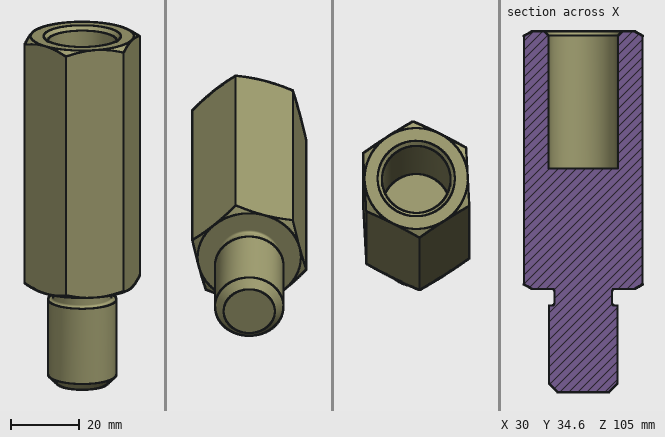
import cadquery as cq
import math

total_length = 105.0
stud_length = 30.0
hex_length = total_length - stud_length

across_flats = 30.0
across_corners = across_flats / math.cos(math.radians(30))
corner_chamfer_angle = 30.0
crown_radius = across_flats / 2
corner_radius = across_corners / 2
corner_drop = (corner_radius - crown_radius) * math.tan(math.radians(corner_chamfer_angle))

stud_radius = 20.0 / 2
neck_radius = 17.0 / 2
neck_length = 4.7
neck_fillet = 0.6
tip_chamfer = 2.5

bore_radius = 20.0 / 2
bore_mouth_radius = 22.5 / 2
bore_depth = 39.9
bore_chamfer = bore_mouth_radius - bore_radius


def revolve_profile(points):
    """Solid of revolution about Z from (radius, height) points."""
    return cq.Workplane("XZ").polyline(points).close().revolve(360, (0, 0), (0, 1))


def hex_body():
    """Hexagon with corners on the Y axis, its corners turned off conically at both ends."""
    prism = (
        cq.Workplane("XY", origin=(0, 0, stud_length))
        .polygon(6, across_corners)
        .extrude(hex_length)
        .rotate((0, 0, 0), (0, 0, 1), 90)
    )
    envelope = revolve_profile([
        (0, stud_length),
        (crown_radius, stud_length),
        (corner_radius, stud_length + corner_drop),
        (corner_radius, total_length - corner_drop),
        (crown_radius, total_length),
        (0, total_length),
    ])
    return prism.intersect(envelope)


def stud():
    """Chamfered stud with an undercut neck, filleted at both ends, next to the body."""
    neck_bottom = stud_length - neck_length
    fillet_edge_radius = neck_radius + neck_fillet
    arc_inset = neck_fillet * (1 - math.sqrt(0.5))
    return (
        cq.Workplane("XZ")
        .lineTo(stud_radius - tip_chamfer, 0)
        .lineTo(stud_radius, tip_chamfer)
        .lineTo(stud_radius, neck_bottom)
        .lineTo(fillet_edge_radius, neck_bottom)
        .threePointArc(
            (neck_radius + arc_inset, neck_bottom + arc_inset),
            (neck_radius, neck_bottom + neck_fillet),
        )
        .lineTo(neck_radius, stud_length - neck_fillet)
        .threePointArc(
            (neck_radius + arc_inset, stud_length - arc_inset),
            (fillet_edge_radius, stud_length),
        )
        .lineTo(0, stud_length)
        .close()
        .revolve(360, (0, 0), (0, 1))
    )


def bore():
    """Flat-bottomed hole with a 45 degree countersunk mouth."""
    return revolve_profile([
        (0, total_length - bore_depth),
        (bore_radius, total_length - bore_depth),
        (bore_radius, total_length - bore_chamfer),
        (bore_mouth_radius, total_length),
        (0, total_length),
    ])


result = hex_body().union(stud()).cut(bore())